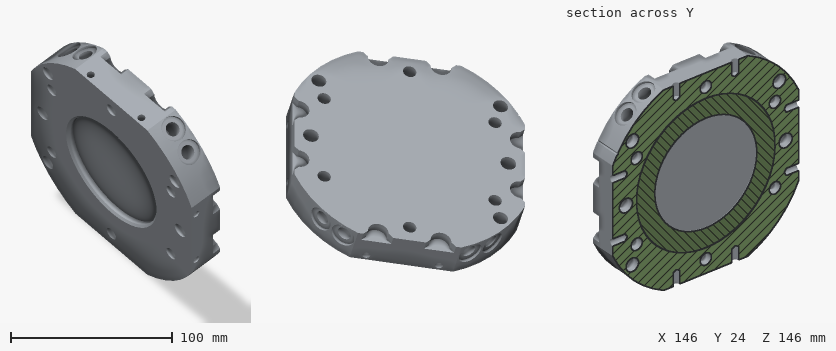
import cadquery as cq
import math


ACROSS_FLATS = 146.0
THICKNESS = 24.0
RIM_RADIUS = 80.0
HALF_FLATS = ACROSS_FLATS / 2
FRONT_Y = -THICKNESS / 2
BACK_Y = THICKNESS / 2

BOLT_CIRCLE_RADIUS = 62.5
BOLT_HOLE_DIAMETER = 8.5
BOLT_HOLE_ANGLES = (30, 90, 150, 210, 270, 330)
DOWEL_HOLE_DIAMETER = 10.0
DOWEL_HOLE_ANGLES = (0, 180)
CORNER_HOLE_DIAMETER = 9.5
CORNER_HOLE_X = 57.5
CORNER_HOLE_Z = 45.0
CORNER_HOLE_SIGNS = ((-1, 1), (1, 1), (-1, -1))

PORT_ANGLES_FROM_FLAT_AXIS = (30.4, 43.0)
PORT_Y = FRONT_Y + 15.0
PORT_FACE_DIAMETER = 16.0
PORT_FACE_RADIUS = 78.1
PORT_BORE_DIAMETER = 9.0
PORT_BORE_DEPTH = 17.5

SIDE_HOLE_OFFSET = 23.0
SIDE_HOLE_Y = FRONT_Y + 4.02
SIDE_HOLE_DIAMETER = 5.0
SIDE_HOLE_DEPTH = 10.0
DRILL_POINT_ANGLE = 118.0
POCKET_OFFSET = 19.9
POCKET_RADIUS = 6.5
POCKET_CHAMFER = 2.9
POCKET_DEPTH = 6.0

GROOVE_ANGLE = 150.0
GROOVE_DEPTH = 0.7

INSERT_FACE_RADIUS = 46.7
INSERT_BODY_RADIUS = 54.0
INSERT_SHOULDER_DEPTH = 0.4
RECESS_RADIUS = 39.7
RECESS_CHAMFER = 1.39
RECESS_DEPTH = 5.0

CUT_MARGIN = 2.9


def cylinder_along_y(radius, y_start, y_end, x=0.0, z=0.0):
    """Solid cylinder parallel to Y, from y_start to y_end."""
    start = cq.Vector(x, y_start, z)
    return cq.Workplane(cq.Solid.makeCylinder(radius, y_end - y_start, start, cq.Vector(0, 1, 0)))


def prism_along_y(outline, y_start, y_end):
    """Extrude an outline drawn on the XZ plane, whose normal is -Y."""
    return outline.extrude(y_end - y_start).translate((0, y_end, 0))


def turned_about_y(shape, angle):
    """Turn a shape about the central Y axis, from +X towards +Z for a positive angle."""
    return shape.rotate((0, 0, 0), (0, 1, 0), -angle)


def housing_blank():
    """Round plate trimmed by four flats, bored and counterbored for the insert."""
    blank = cylinder_along_y(RIM_RADIUS, FRONT_Y, BACK_Y)
    blank = blank.intersect(cq.Workplane().box(ACROSS_FLATS, THICKNESS, ACROSS_FLATS))
    return blank.cut(insert_envelope())


def insert_envelope():
    """Stepped cylinder that fills the opening of the housing."""
    shoulder_y = FRONT_Y + INSERT_SHOULDER_DEPTH
    nose = cylinder_along_y(INSERT_FACE_RADIUS, FRONT_Y, shoulder_y)
    return nose.union(cylinder_along_y(INSERT_BODY_RADIUS, shoulder_y, BACK_Y))


def through_hole(diameter, x, z):
    return cylinder_along_y(diameter / 2, FRONT_Y - CUT_MARGIN, BACK_Y + CUT_MARGIN, x, z)


def through_holes():
    """Bolt and dowel holes on one circle, plus three holes near the corners."""
    holes = []
    for diameter, angles in (
        (BOLT_HOLE_DIAMETER, BOLT_HOLE_ANGLES),
        (DOWEL_HOLE_DIAMETER, DOWEL_HOLE_ANGLES),
    ):
        for angle in angles:
            x = BOLT_CIRCLE_RADIUS * math.cos(math.radians(angle))
            z = BOLT_CIRCLE_RADIUS * math.sin(math.radians(angle))
            holes.append(through_hole(diameter, x, z))
    for x_sign, z_sign in CORNER_HOLE_SIGNS:
        holes.append(through_hole(CORNER_HOLE_DIAMETER, x_sign * CORNER_HOLE_X, z_sign * CORNER_HOLE_Z))
    return holes


def port():
    """Spotface and blind bore running inwards along X from the rim."""
    bore_end = PORT_FACE_RADIUS - PORT_BORE_DEPTH
    bore = cq.Workplane("YZ", origin=(bore_end, PORT_Y, 0)).circle(PORT_BORE_DIAMETER / 2)
    bore = bore.extrude(PORT_BORE_DEPTH + CUT_MARGIN)
    spotface = cq.Workplane("YZ", origin=(PORT_FACE_RADIUS, PORT_Y, 0)).circle(PORT_FACE_DIAMETER / 2)
    spotface = spotface.extrude(RIM_RADIUS - PORT_FACE_RADIUS + CUT_MARGIN)
    return bore.union(spotface)


def ports():
    """Two ports on each side of the +Z and -Z flats."""
    angles = []
    for offset in PORT_ANGLES_FROM_FLAT_AXIS:
        for flat_axis in (90, 270):
            angles += [flat_axis - offset, flat_axis + offset]
    return [turned_about_y(port(), angle) for angle in angles]


def side_hole(x):
    """Blind hole with a drill point, sunk into the +Z flat."""
    radius = SIDE_HOLE_DIAMETER / 2
    point_height = radius / math.tan(math.radians(DRILL_POINT_ANGLE / 2))
    profile = (
        cq.Workplane("XZ")
        .moveTo(0, CUT_MARGIN)
        .lineTo(radius, CUT_MARGIN)
        .lineTo(radius, -SIDE_HOLE_DEPTH)
        .lineTo(0, -SIDE_HOLE_DEPTH - point_height)
        .close()
    )
    hole = profile.revolve(360, (0, 0, 0), (0, 1, 0))
    return hole.translate((x, SIDE_HOLE_Y, HALF_FLATS))


def edge_pocket(x):
    """Half-round pocket with a chamfered mouth, where the +Z flat meets the back face."""
    throat_z = HALF_FLATS - POCKET_CHAMFER
    mouth_half_width = POCKET_RADIUS + POCKET_CHAMFER
    outline = (
        cq.Workplane("XZ")
        .moveTo(x - mouth_half_width, HALF_FLATS)
        .lineTo(x - POCKET_RADIUS, throat_z)
        .threePointArc((x, throat_z - POCKET_RADIUS), (x + POCKET_RADIUS, throat_z))
        .lineTo(x + mouth_half_width, HALF_FLATS)
        .close()
    )
    return prism_along_y(outline, BACK_Y - POCKET_DEPTH, BACK_Y)


def flat_features():
    """The pair of holes and pair of pockets, repeated on all four flats."""
    pattern = []
    for side in (-1, 1):
        pattern.append(side_hole(side * SIDE_HOLE_OFFSET))
        pattern.append(edge_pocket(side * POCKET_OFFSET))
    return [turned_about_y(shape, angle) for angle in (0, 90, 180, 270) for shape in pattern]


def index_groove():
    """Right-angled V groove across the rim."""
    root_radius = RIM_RADIUS - GROOVE_DEPTH
    mouth_radius = RIM_RADIUS + CUT_MARGIN
    mouth_half_width = mouth_radius - root_radius
    outline = cq.Workplane("XZ").polyline(
        [(root_radius, 0), (mouth_radius, mouth_half_width), (mouth_radius, -mouth_half_width)]
    ).close()
    return turned_about_y(prism_along_y(outline, FRONT_Y, BACK_Y), GROOVE_ANGLE)


def make_housing():
    housing = housing_blank()
    for cutter in through_holes() + ports() + flat_features() + [index_groove()]:
        housing = housing.cut(cutter)
    return housing


def make_insert_ring():
    """Stepped ring with a chamfered mouth on its front."""
    bore = cylinder_along_y(RECESS_RADIUS, FRONT_Y, BACK_Y)
    mouth_chamfer = cq.Workplane(
        cq.Solid.makeCone(
            RECESS_RADIUS + RECESS_CHAMFER,
            RECESS_RADIUS,
            RECESS_CHAMFER,
            cq.Vector(0, FRONT_Y, 0),
            cq.Vector(0, 1, 0),
        )
    )
    return insert_envelope().cut(bore).cut(mouth_chamfer)


def make_center_disc():
    """Disc inside the ring, set back from the front to leave a recess."""
    return cylinder_along_y(RECESS_RADIUS, FRONT_Y + RECESS_DEPTH, BACK_Y)


housing = make_housing()
insert_ring = make_insert_ring()
center_disc = make_center_disc()

result = cq.Compound.makeCompound([housing.val(), insert_ring.val(), center_disc.val()])